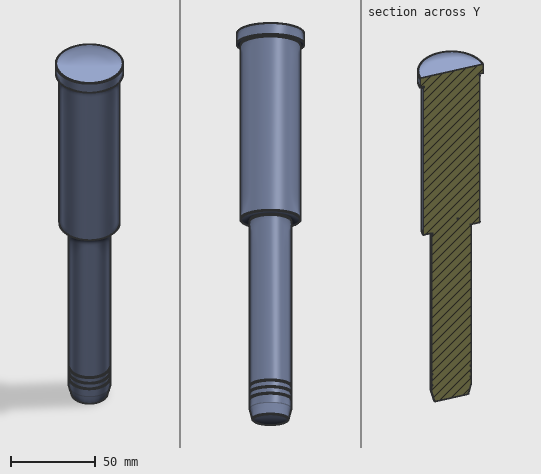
import cadquery as cq

total_length = 240.0
head_diameter = 40.0
body_diameter = 36.0
pin_diameter = 25.0

head_height = 7.0
head_and_body_length = 116.0

edge_chamfer = 0.5

relief_depth = 0.5
head_relief_width = 1.2
body_relief_width = 1.0

tip_diameter = 21.5
tip_length = 7.0

groove_count = 3
groove_pitch = 4.0
groove_depth = 0.5
lowest_groove_z = 12.5

head_radius = head_diameter / 2
body_radius = body_diameter / 2
pin_radius = pin_diameter / 2
tip_radius = tip_diameter / 2
head_bottom_z = total_length - head_height
body_bottom_z = total_length - head_and_body_length


def revolve_profile(points):
    """Revolve a closed (radius, z) outline around the Z axis."""
    return cq.Workplane("XZ").polyline(points).close().revolve(360, (0, 0, 0), (0, 1, 0))


def make_stepped_pin():
    """Solid shaft: conical tip, pin, body and head."""
    return revolve_profile([
        (0, 0),
        (tip_radius - edge_chamfer, 0),
        (tip_radius, edge_chamfer),
        (pin_radius, tip_length),
        (pin_radius, body_bottom_z),
        (body_radius - edge_chamfer, body_bottom_z),
        (body_radius, body_bottom_z + edge_chamfer),
        (body_radius, head_bottom_z),
        (head_radius, head_bottom_z),
        (head_radius, total_length - edge_chamfer),
        (head_radius - edge_chamfer, total_length),
        (0, total_length),
    ])


def make_head_relief():
    """Ring below the head with a 45-degree lower flank."""
    lower_z = head_bottom_z - head_relief_width
    floor_radius = body_radius - relief_depth
    return revolve_profile([
        (body_radius, lower_z),
        (floor_radius, lower_z + relief_depth),
        (floor_radius, head_bottom_z),
        (body_radius, head_bottom_z),
    ])


def make_body_relief():
    """Square ring around the pin directly below the body."""
    lower_z = body_bottom_z - body_relief_width
    floor_radius = pin_radius - relief_depth
    return revolve_profile([
        (pin_radius, lower_z),
        (floor_radius, lower_z),
        (floor_radius, body_bottom_z),
        (pin_radius, body_bottom_z),
    ])


def make_v_groove(center_z):
    """Triangular ring around the pin, centred at the given height."""
    return revolve_profile([
        (pin_radius, center_z - groove_depth),
        (pin_radius - groove_depth, center_z),
        (pin_radius, center_z + groove_depth),
    ])


result = make_stepped_pin()
result = result.cut(make_head_relief())
result = result.cut(make_body_relief())
for index in range(groove_count):
    result = result.cut(make_v_groove(lowest_groove_z + index * groove_pitch))